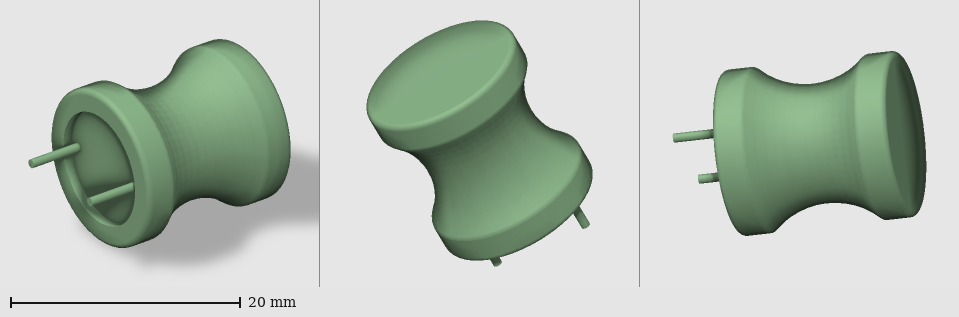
import cadquery as cq

core_diameter = 14.6
core_length = 15.6
waist_diameter = 10.5
flange_thickness = 2.7
edge_radius = 0.5

recess_diameter = 10.5
recess_depth = 0.9

lead_diameter = 0.8
lead_spacing = 8.6
lead_projection = 4.2

core_radius = core_diameter / 2
waist_radius = waist_diameter / 2


def make_core():
    """Drum core with a concave waist and rounded flange edges."""
    profile = (
        cq.Workplane("XY")
        .lineTo(core_radius, 0)
        .lineTo(core_radius, flange_thickness)
        .threePointArc((waist_radius, core_length / 2), (core_radius, core_length - flange_thickness))
        .lineTo(core_radius, core_length)
        .lineTo(0, core_length)
        .close()
    )
    core = profile.revolve(360, (0, 0, 0), (0, 1, 0))
    return core.faces("%CYLINDER").edges("%CIRCLE").fillet(edge_radius)


def cylinder_along_y(diameter, start_y, end_y, x=0):
    """Solid cylinder parallel to Y between two Y positions, with its axis at Z = 0."""
    return cq.Workplane(
        cq.Solid.makeCylinder(
            diameter / 2,
            end_y - start_y,
            cq.Vector(x, start_y, 0),
            cq.Vector(0, 1, 0),
        )
    )


result = make_core().cut(cylinder_along_y(recess_diameter, 0, recess_depth))
for side in (-1, 1):
    lead_x = side * lead_spacing / 2
    lead = cylinder_along_y(lead_diameter, -lead_projection, recess_depth, lead_x)
    result = result.union(lead)